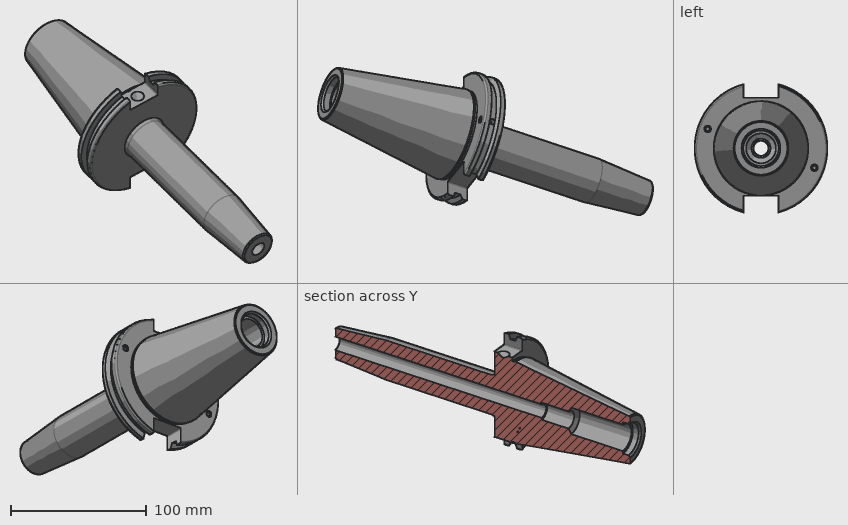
import cadquery as cq
import math

total_length = 261.5
taper_length = 101.2
neck_start = 102.8
flange_start = 104.5
flange_end = 120.5
collar_end = 123.2
nose_start = 216.9

gauge_diameter = 69.8
taper_ratio = 7 / 24
neck_diameter = 68.8
flange_diameter = 98.0
collar_base_diameter = 35.5
shank_diameter = 34.0
nose_diameter = 27.0
taper_end_chamfer = 0.8
nose_chamfer = 1.0
rim_fillet = 1.3

groove_center = 112.7
groove_mouth = 7.3
groove_floor = 4.2
groove_diameter = 90.5

slot_width = 25.6
upper_slot_floor = 37.5
lower_slot_floor = 35.0
slot_corner_fillet = 0.5

drill_half_angle = 59.0

dimple_diameter = 9.5
dimple_depth = dimple_diameter / 2 / math.tan(math.radians(drill_half_angle))

entry_diameter = 26.2
entry_mouth_diameter = 28.8
entry_cone_length = 1.5
entry_depth = 6.5
thread_diameter = 22.0
thread_depth = 52.3
step_diameter = 14.0
step_depth = 78.5
through_diameter = 11.0

coolant_angle = 20.0
coolant_radius = 41.9
coolant_diameter = 3.1
coolant_counterbore_diameter = 5.0
coolant_counterbore_depth = 1.0
radial_diameter = 4.2
radial_inner_radius = coolant_radius - radial_diameter / 2


def revolve_profile(points):
    """Revolve (x, radius) points around the X axis."""
    return cq.Workplane("XY").polyline(points).close().revolve(360, (0, 0, 0), (1, 0, 0))


def make_body():
    gauge_radius = gauge_diameter / 2
    small_radius = gauge_radius - taper_length * taper_ratio / 2
    chamfer_radius = small_radius + taper_end_chamfer * taper_ratio / 2
    rim_radius = flange_diameter / 2
    nose_radius = nose_diameter / 2
    body = revolve_profile([
        (0, 0),
        (0, small_radius - taper_end_chamfer),
        (taper_end_chamfer, chamfer_radius),
        (taper_length, gauge_radius),
        (neck_start, neck_diameter / 2),
        (flange_start, neck_diameter / 2),
        (flange_start, rim_radius),
        (groove_center - groove_mouth / 2, rim_radius),
        (groove_center - groove_floor / 2, groove_diameter / 2),
        (groove_center + groove_floor / 2, groove_diameter / 2),
        (groove_center + groove_mouth / 2, rim_radius),
        (flange_end, rim_radius),
        (flange_end, collar_base_diameter / 2),
        (collar_end, shank_diameter / 2),
        (nose_start, shank_diameter / 2),
        (total_length - nose_chamfer, nose_radius),
        (total_length, nose_radius - nose_chamfer),
        (total_length, 0),
    ])
    for rim_x in (flange_start, flange_end):
        body = body.edges(cq.selectors.BoxSelector(
            (rim_x - 0.3, -rim_radius - 2.5, -rim_radius - 2.5),
            (rim_x + 0.3, rim_radius + 2.5, rim_radius + 2.5),
        )).edges(cq.selectors.RadiusNthSelector(-1)).fillet(rim_fillet)
    return body


def make_bore():
    entry_radius = entry_diameter / 2
    thread_radius = thread_diameter / 2
    step_radius = step_diameter / 2
    cone_length = (thread_radius - step_radius) / math.tan(math.radians(drill_half_angle))
    return revolve_profile([
        (0, 0),
        (0, entry_mouth_diameter / 2),
        (entry_cone_length, entry_radius),
        (entry_depth, entry_radius),
        (entry_depth, thread_radius),
        (thread_depth, thread_radius),
        (thread_depth + cone_length, step_radius),
        (step_depth, step_radius),
        (step_depth, through_diameter / 2),
        (total_length, through_diameter / 2),
        (total_length, 0),
    ])


def make_slot(floor, side):
    """Drive slot across the flange; side is +1 for the top and -1 for the bottom."""
    depth = flange_diameter / 2 - floor
    slot = cq.Workplane("XY").box(
        flange_end - flange_start, slot_width, depth, centered=(False, True, False)
    )
    slot = slot.edges("|X and <Z").fillet(slot_corner_fillet).translate((flange_start, 0, floor))
    return slot if side > 0 else slot.mirror("XY")


def make_dimple():
    cone = cq.Solid.makeCone(
        dimple_diameter / 2,
        0,
        dimple_depth,
        pnt=cq.Vector(groove_center, 0, upper_slot_floor),
        dir=cq.Vector(0, 0, -1),
    )
    return cq.Workplane(obj=cone)


def make_hole(diameter, start, direction, length):
    return cq.Workplane(
        obj=cq.Solid.makeCylinder(diameter / 2, length, cq.Vector(*start), cq.Vector(*direction))
    )


def make_coolant_holes(side):
    """Counterbored axial hole meeting a radial hole from the groove, on the +Y or -Y side."""
    angle = math.radians(coolant_angle)
    y_direction = side * math.cos(angle)
    z_direction = side * math.sin(angle)
    face_point = (flange_start, coolant_radius * y_direction, coolant_radius * z_direction)
    inner_point = (groove_center, radial_inner_radius * y_direction, radial_inner_radius * z_direction)
    along_axis = (1, 0, 0)
    outward = (0, y_direction, z_direction)
    axial = make_hole(coolant_diameter, face_point, along_axis, groove_center - flange_start)
    counterbore = make_hole(
        coolant_counterbore_diameter, face_point, along_axis, coolant_counterbore_depth
    )
    radial = make_hole(radial_diameter, inner_point, outward, flange_diameter / 2 - radial_inner_radius)
    return axial.union(counterbore).union(radial)


result = make_body().cut(make_bore())
result = result.cut(make_slot(upper_slot_floor, 1))
result = result.cut(make_slot(lower_slot_floor, -1))
result = result.cut(make_dimple())
for side in (1, -1):
    result = result.cut(make_coolant_holes(side))